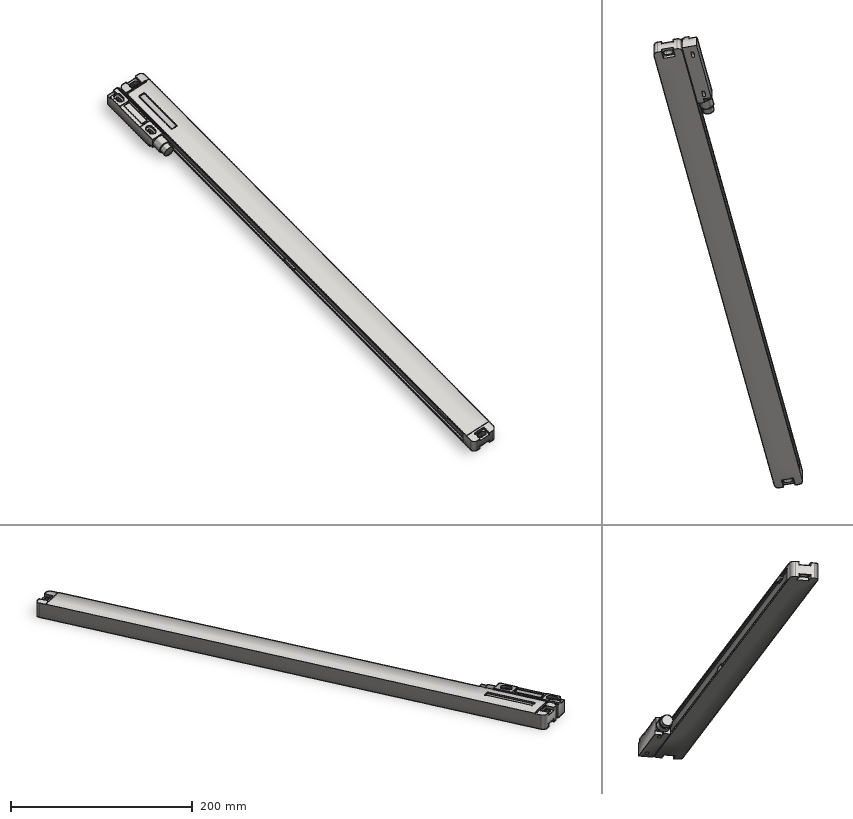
import cadquery as cq

length = 625.0
height = 18.0
head_depth = 16.0
head_gap = 0.9
scale_depth = 32.0
scale_front = head_depth + head_gap
scale_back = scale_front + scale_depth
scale_middle_y = scale_front + scale_depth / 2
corner_radius = 5.0

hole_inset = 5.5
hole_length = 10.5
hole_width = 5.5
seat_length = 10.0
seat_width = 13.0
seat_depth = 4.0

cap_length = 12.5
cap_drop = 0.3
joint_width = 2.0
joint_depth = 4.0
joint_end_margin = 4.5

channel_inset = 19.0
channel_lip = 2.5
channel_depth = 2.5
tab_length = 17.5
tab_height = 2.5
upper_tab_x = 570.0
lower_tab_x = 299.5

label_start_x = 24.0
label_length = 58.0
label_width = 7.5
label_middle_y = 29.5
label_depth = 2.0

head_length = 80.0
slot_inset = 12.0
slot_middle_y = 7.0
slot_length = 7.5
slot_width = 3.0
slot_sink_length = 13.0
slot_sink_width = 8.0
slot_sink_depth = 3.0

pocket_start_x = 22.0
pocket_end_x = 57.5
pocket_depth = 0.5
bar_inset = 2.0
bar_front_y = 4.5
bar_back_y = 12.0
ledge_width = 2.0
ledge_depth = 2.0

notch_length = 5.0
notch_depth = 9.0
upper_notch_height = 3.0
lower_notch_height = 4.0

gland_middle_y = 8.0
gland_diameter = 15.0
gland_length = 11.0
nose_diameter = 12.5
nose_length = 7.5


def block(x_start, x_end, y_start, y_end, z_start, z_end):
    """Box between two opposite corners."""
    size = (x_end - x_start, y_end - y_start, z_end - z_start)
    return cq.Workplane("XY").box(*size, centered=False).translate((x_start, y_start, z_start))


def slot_up(x, y, slot_size, width, z_start, z_end, angle=0):
    """Upright slot-shaped prism, long along X unless turned by an angle in degrees."""
    base = cq.Workplane("XY", origin=(x, y, z_start))
    return base.slot2D(slot_size, width, angle).extrude(z_end - z_start)


def mounting_cut(x_end, inward):
    """Slot and both seats of one cap, from its end face in the inward direction (+1 or -1)."""
    cut = slot_up(x_end + inward * hole_inset, scale_middle_y, hole_length, hole_width, 0, height, 90)
    x_start, x_stop = sorted((x_end, x_end + inward * seat_length))
    y_start = scale_middle_y - seat_width / 2
    for z_start in (0, height - seat_depth):
        seat = block(x_start, x_stop, y_start, y_start + seat_width, z_start, z_start + seat_depth)
        cut = cut.union(seat)
    return cut


def front_channel():
    """Recess along the front face, less the locking tabs left standing on its lips."""
    back = scale_front + channel_depth
    top = height - channel_lip
    channel = block(channel_inset, length - channel_inset, scale_front, back, channel_lip, top)
    for middle_x, z_start in ((upper_tab_x, top - tab_height), (lower_tab_x, channel_lip)):
        tab_start = middle_x - tab_length / 2
        tab = block(tab_start, tab_start + tab_length, scale_front, back, z_start, z_start + tab_height)
        channel = channel.cut(tab)
    return channel


def cap_step():
    """Thin layer taken off the top of both caps."""
    left = block(0, cap_length, scale_front, scale_back, height - cap_drop, height)
    return left.union(left.translate((length - cap_length, 0, 0)))


def joint_groove():
    """Groove across the top beside the -X cap, stopping short of the back."""
    x_start = cap_length - joint_width / 2
    y_end = scale_back - joint_end_margin
    return block(x_start, x_start + joint_width, scale_front, y_end, height - joint_depth, height)


def label_recess():
    """Rectangular recess in the top near the -X end."""
    x_end = label_start_x + label_length
    y_start = label_middle_y - label_width / 2
    return block(label_start_x, x_end, y_start, y_start + label_width, height - label_depth, height)


def make_scale():
    """Extrusion and both caps as one body."""
    body = block(0, length, scale_front, scale_back, 0, height)
    body = body.edges("|Z").fillet(corner_radius)
    for x_end, inward in ((0, 1), (length, -1)):
        body = body.cut(mounting_cut(x_end, inward))
    body = body.cut(cap_step()).cut(joint_groove())
    return body.cut(label_recess()).cut(front_channel())


def bolt_slot(x):
    """Bolt slot through the head with a wider seat at the top."""
    through = slot_up(x, slot_middle_y, slot_length, slot_width, 0, height)
    seat = slot_up(x, slot_middle_y, slot_sink_length, slot_sink_width, height - slot_sink_depth, height)
    return through.union(seat)


def cable_gland():
    """Stepped round gland on the +X end of the head."""
    start = cq.Workplane("YZ", origin=(head_length, gland_middle_y, height / 2))
    collar = start.circle(gland_diameter / 2).extrude(gland_length)
    nose = start.circle(nose_diameter / 2).extrude(gland_length + nose_length)
    return collar.union(nose)


def pocket_around_bar():
    """Shallow pocket in the top of the head, less the bar left standing in it."""
    floor = height - pocket_depth
    pocket = block(pocket_start_x, pocket_end_x, 0, head_depth, floor, height)
    bar_start = pocket_start_x + bar_inset
    bar_end = pocket_end_x - bar_inset
    return pocket.cut(block(bar_start, bar_end, bar_front_y, bar_back_y, floor, height))


def corner_notches():
    """Upper notch at the -X front corner and lower notch at the +X front corner."""
    upper = block(0, notch_length, 0, notch_depth, height - upper_notch_height, height)
    lower = block(head_length - notch_length, head_length, 0, notch_depth, 0, lower_notch_height)
    return upper.union(lower)


def make_head():
    """Reading head with its cable gland as one body."""
    body = block(0, head_length, 0, head_depth, 0, height)
    ledge = block(0, head_length, head_depth - ledge_width, head_depth, height - ledge_depth, height)
    body = body.cut(pocket_around_bar()).cut(ledge)
    for x in (slot_inset, head_length - slot_inset):
        body = body.cut(bolt_slot(x))
    return body.cut(corner_notches()).union(cable_gland())


scale = make_scale()
head = make_head()
result = cq.Compound.makeCompound([scale.val(), head.val()])